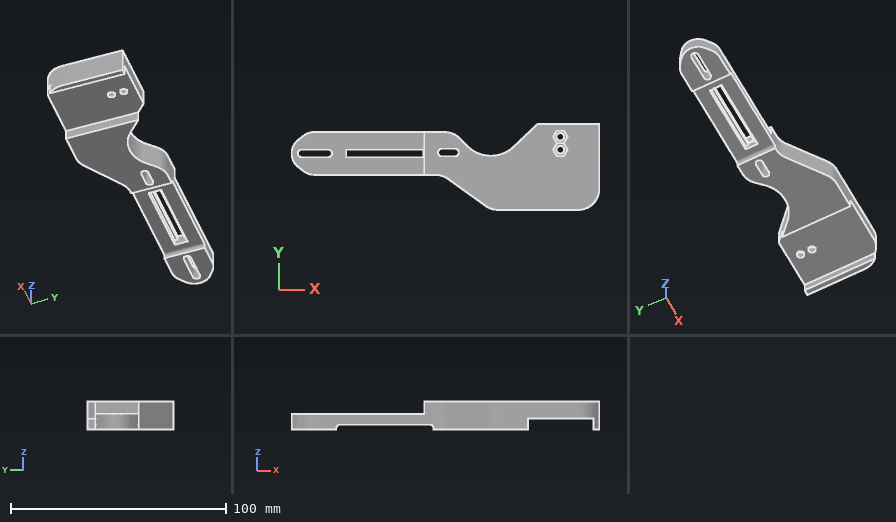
import cadquery as cq
import math

length = 143.0
width = 40.0
thickness = 13.0

arm_width = 20.0
arm_bottom = 16.3
arm_top = arm_bottom + arm_width
arm_center = arm_bottom + arm_width / 2
arm_thickness = 7.3
arm_end = 61.6
nose_angle = 38.0
nose_radius = 8.0

lower_bend_start = 70.0
lower_bend_end = 92.8
upper_bend_start = 75.2
valley_start = 86.0
valley_end = 98.8
valley_y = 25.3
head_start = 114.2
bend_radius = 10.0
valley_radius = 15.0

slot_width = 3.5
nose_slot_start = 3.0
nose_slot_end = 18.7
window_start = 25.5
window_end = 61.2
window_lip_thickness = 2.1
window_undercut = 1.5
neck_slot_start = 68.0
neck_slot_end = 77.6
neck_slot_y = 26.7

arm_recess_start = 20.9
arm_recess_end = 65.9
arm_recess_depth = 2.1
arm_recess_radius = 1.5
head_recess_start = 109.8
end_wall = 2.9
head_recess_depth = 5.0

bolt_x = 124.8
bolt_ys = (28.0, 34.0)
bolt_diameter = 3.5
nut_corner_diameter = 6.7
nut_depth = 3.5


def make_plate():
    """Extrude the outline and round its bends."""
    nose_slope = math.tan(math.radians(nose_angle))
    apex_x = -nose_radius * (1 / math.sin(math.radians(nose_angle)) - 1)
    shoulder_x = apex_x + arm_width / 2 / nose_slope

    corners = [
        (apex_x, arm_center, nose_radius),
        (shoulder_x, arm_bottom, nose_radius),
        (lower_bend_start, arm_bottom, bend_radius),
        (lower_bend_end, 0, bend_radius),
        (length, 0, bend_radius),
        (length, width, 0),
        (head_start, width, 0),
        (valley_end, valley_y, valley_radius),
        (valley_start, valley_y, valley_radius),
        (upper_bend_start, arm_top, bend_radius),
        (shoulder_x, arm_top, nose_radius),
    ]
    return round_outline(corners).close().extrude(thickness)


def round_outline(corners):
    """Draw a polygon with a tangent arc at each corner that has a radius."""
    outline = None
    for i, (x, y, radius) in enumerate(corners):
        corner = cq.Vector(x, y)
        before = cq.Vector(*corners[i - 1][:2]) - corner
        after = cq.Vector(*corners[(i + 1) % len(corners)][:2]) - corner
        half_angle = before.getAngle(after) / 2
        setback = radius / math.tan(half_angle)
        start = corner + before.normalized() * setback
        if outline is None:
            outline = cq.Workplane("XY").moveTo(start.x, start.y)
        else:
            outline = outline.lineTo(start.x, start.y)
        if radius:
            inward = (before.normalized() + after.normalized()).normalized()
            middle = corner + inward * (radius / math.sin(half_angle) - radius)
            end = corner + after.normalized() * setback
            outline = outline.threePointArc((middle.x, middle.y), (end.x, end.y))
    return outline


def box(x_start, x_end, y_start, y_end, z_start, z_end):
    size = (x_end - x_start, y_end - y_start, z_end - z_start)
    return cq.Workplane("XY").box(*size, centered=False).translate((x_start, y_start, z_start))


def round_slot(x_start, x_end, y):
    """Through slot with semicircular ends."""
    middle = (x_start + x_end) / 2
    return cq.Workplane("XY").center(middle, y).slot2D(x_end - x_start, slot_width).extrude(thickness)


def arm_window():
    """Rectangular through slot, wider on each side below a thin upper lip."""
    half_narrow = slot_width / 2
    half_wide = half_narrow + window_undercut
    narrow = box(window_start, window_end, arm_center - half_narrow, arm_center + half_narrow, 0, arm_thickness)
    lip_bottom = arm_thickness - window_lip_thickness
    wide = box(window_start, window_end, arm_center - half_wide, arm_center + half_wide, 0, lip_bottom)
    return narrow.union(wide)


def arm_recess():
    """Underside relief across the arm, rounded where its walls meet its ceiling."""
    relief = box(arm_recess_start, arm_recess_end, 0, width, 0, arm_recess_depth)
    return relief.edges("|Y and >Z").fillet(arm_recess_radius)


def bolt_hole(y):
    """Through hole with a hexagonal nut pocket in the top face."""
    hole = cq.Workplane("XY").center(bolt_x, y).circle(bolt_diameter / 2).extrude(thickness)
    pocket = (
        cq.Workplane("XY", origin=(bolt_x, y, thickness - nut_depth))
        .polygon(6, nut_corner_diameter)
        .extrude(nut_depth)
    )
    return hole.union(pocket)


result = make_plate()

result = result.cut(box(0, arm_end, 0, width, arm_thickness, thickness))

result = result.cut(round_slot(nose_slot_start, nose_slot_end, arm_center))
result = result.cut(arm_window())
result = result.cut(round_slot(neck_slot_start, neck_slot_end, neck_slot_y))

result = result.cut(arm_recess())
result = result.cut(box(head_recess_start, length - end_wall, 0, width, 0, head_recess_depth))

for bolt_y in bolt_ys:
    result = result.cut(bolt_hole(bolt_y))